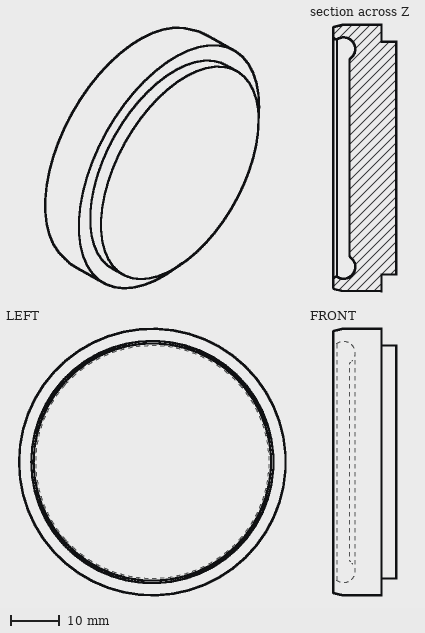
import cadquery as cq
import math

body_radius = 54.9 / 2
spigot_radius = 48.0 / 2
spigot_length = 3.0
total_length = 13.0
shoulder_x = total_length - spigot_length

taper_length = 2.0
taper_radius = 27.05
edge_length = 0.35
rim_outer_radius = 26.6
rim_inner_radius = 24.9
lip_round = 0.5

disc_x = 3.35
disc_radius = 19.8
disc_round_radius = 20.65
disc_round_depth = 0.35
groove_outer_radius = rim_inner_radius - lip_round
lip_depth = 0.8
groove_floor_x = 4.5
groove_middle_radius = 22.8

arc_mid = math.sin(math.radians(45))


def quarter_arc_middle(start, end):
    """Point halfway round the rounded edge from a face at start to a wall at end."""
    x = start[0] + (end[0] - start[0]) * (1 - arc_mid)
    radius = start[1] + (end[1] - start[1]) * arc_mid
    return x, radius


rim_outer = (0, rim_outer_radius)
taper_start = (edge_length, taper_radius)
rim_inner = (0, rim_inner_radius)
lip_end = (lip_depth, groove_outer_radius)
disc_edge = (disc_x, disc_radius)
groove_inner = (disc_x + disc_round_depth, disc_round_radius)

half_profile = (
    cq.Workplane("XY")
    .moveTo(disc_x, 0)
    .lineTo(*disc_edge)
    .threePointArc(quarter_arc_middle(disc_edge, groove_inner), groove_inner)
    .threePointArc((groove_floor_x, groove_middle_radius), lip_end)
    .threePointArc(quarter_arc_middle(rim_inner, lip_end), rim_inner)
    .lineTo(*rim_outer)
    .threePointArc(quarter_arc_middle(rim_outer, taper_start), taper_start)
    .lineTo(taper_length, body_radius)
    .lineTo(shoulder_x, body_radius)
    .lineTo(shoulder_x, spigot_radius)
    .lineTo(total_length, spigot_radius)
    .lineTo(total_length, 0)
    .close()
)

result = half_profile.revolve(360, (0, 0, 0), (1, 0, 0))